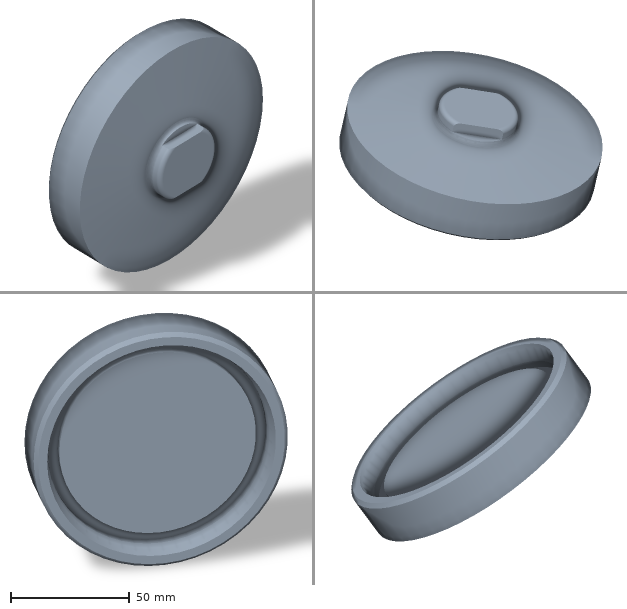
import cadquery as cq

outer_diameter = 110
body_width = 20.0
rim_chamfer = 1.6
cone_height = 3.3

recess_mouth_diameter = 99
recess_floor_diameter = 94.8
disc_diameter = 85.0
recess_depth = 7.8
groove_depth = 3.4

overall_width = 30.0
hub_diameter = 34.1
hub_fillet = 2.0
flat_spacing = 26.6
flat_start = 25.1

outer_radius = outer_diameter / 2
hub_radius = hub_diameter / 2


def make_body():
    """Revolve the rim, conical back and hub, then round the hub's root and end."""
    hub_base = body_width + cone_height
    profile = (
        cq.Workplane("XY")
        .moveTo(0, 0)
        .lineTo(0, outer_radius - rim_chamfer)
        .lineTo(rim_chamfer, outer_radius)
        .lineTo(body_width, outer_radius)
        .lineTo(hub_base, hub_radius)
        .lineTo(overall_width, hub_radius)
        .lineTo(overall_width, 0)
        .close()
    )
    body = profile.revolve(360, (0, 0, 0), (1, 0, 0))
    hub_root = cq.selectors.RadiusNthSelector(0)
    root_and_end = body.edges("%CIRCLE").edges(hub_root)
    return root_and_end.fillet(hub_fillet)


def make_recess():
    """Tapered recess that ends in a straight-walled groove around the disc."""
    groove_floor = recess_depth + groove_depth
    profile = (
        cq.Workplane("XY")
        .moveTo(0, 0)
        .lineTo(0, recess_mouth_diameter / 2)
        .lineTo(recess_depth, recess_floor_diameter / 2)
        .lineTo(groove_floor, recess_floor_diameter / 2)
        .lineTo(groove_floor, disc_diameter / 2)
        .lineTo(recess_depth, disc_diameter / 2)
        .lineTo(recess_depth, 0)
        .close()
    )
    return profile.revolve(360, (0, 0, 0), (1, 0, 0))


def make_flat_cutter(side):
    """Block beyond one flat of the hub: side is +1 for the top, -1 for the bottom."""
    length = overall_width - flat_start
    center_x = flat_start + length / 2
    center_z = side * (flat_spacing + hub_diameter) / 2
    return cq.Workplane("XY").box(length, hub_diameter, hub_diameter).translate((center_x, 0, center_z))


result = make_body().cut(make_recess())
for side in (1, -1):
    result = result.cut(make_flat_cutter(side))